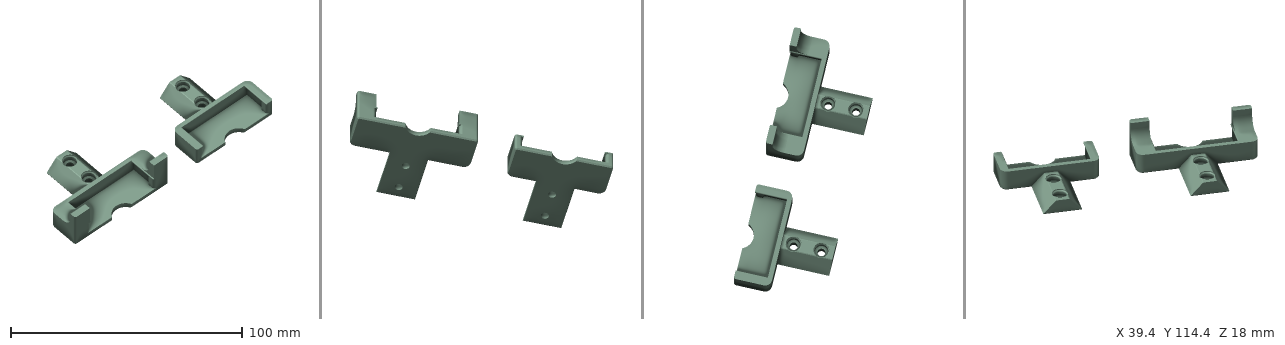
import cadquery as cq

total_length = 114.4
plain_length = 44.0
horned_length = 54.0

tray_depth = 16.4
tray_height = 9.5
floor_thickness = 2.5
back_wall = 2.1
back_corner_radius = 3.1
front_corner_radius = 1.0
base_chamfer = 0.6

pocket_width = 37.0
mouth_radius = 1.5
mouth_length = 3.5
side_relief = 1.0
bead_radius = 0.5
relief_top = tray_height - 2 * bead_radius

notch_radius = 6.2
notch_depth = 3.7

overall_height = 18.0
horn_thickness = 3.1
horn_root_radius = 5.1

tongue_length = 23.0
tongue_height = 6.5
tongue_base_width = 18.1
tongue_top_width = 6.1
tongue_top_chamfer = 0.2

hole_count = 2
end_hole_inset = 5.5
hole_spacing = 12.4
hole_diameter = 3.4
counterbore_diameter = 6.0
counterbore_depth = 3.0
rim_diameter = 6.9
rim_depth = 0.5


def make_tray_block(length):
    """Solid tray body with its vertical corners rounded and its base edges chamfered."""
    block = cq.Workplane("XY").box(tray_depth, length, tray_height, centered=(False, True, False))
    block = block.edges("<X and |Z").fillet(back_corner_radius)
    block = block.edges(">X and |Z").fillet(front_corner_radius)
    return block.faces("<Z").edges().chamfer(base_chamfer)


def make_horn_wall(length):
    """Wall along the open end with a concave root; the pocket later splits it into two horns."""
    horn_back = tray_depth - horn_thickness
    wall = (
        cq.Workplane("XZ")
        .moveTo(horn_back - horn_root_radius, tray_height)
        .radiusArc((horn_back, tray_height + horn_root_radius), -horn_root_radius)
        .lineTo(horn_back, overall_height)
        .lineTo(tray_depth, overall_height)
        .lineTo(tray_depth, tray_height)
        .close()
        .extrude(length / 2, both=True)
    )
    return wall.edges(">X and |Z").fillet(front_corner_radius)


def make_pocket():
    """Space of the pocket, with the mouth edges rounded outward and the side walls relieved behind."""
    half_width = pocket_width / 2
    relief_half = half_width + side_relief
    flare_half = half_width + mouth_radius
    flare_start = tray_depth - mouth_radius
    relief_end = tray_depth - mouth_length
    opening = (
        cq.Workplane("XY")
        .workplane(offset=floor_thickness)
        .moveTo(back_wall, -half_width)
        .lineTo(flare_start, -half_width)
        .radiusArc((tray_depth, -flare_half), mouth_radius)
        .lineTo(tray_depth, flare_half)
        .radiusArc((flare_start, half_width), mouth_radius)
        .lineTo(back_wall, half_width)
        .close()
        .extrude(relief_top - floor_thickness)
    )
    relief = (
        cq.Workplane("XY")
        .workplane(offset=floor_thickness)
        .moveTo(back_wall, -relief_half)
        .lineTo(relief_end - side_relief, -relief_half)
        .radiusArc((relief_end, -half_width), -side_relief)
        .lineTo(relief_end, half_width)
        .radiusArc((relief_end - side_relief, relief_half), -side_relief)
        .lineTo(back_wall, relief_half)
        .close()
        .extrude(relief_top - floor_thickness)
    )
    return opening.union(relief)


def make_bead_opening():
    """Space above the pocket, waisted by the half-round bead on each side."""
    half_width = pocket_width / 2
    return (
        cq.Workplane("YZ")
        .workplane(offset=back_wall)
        .moveTo(-half_width, relief_top)
        .lineTo(half_width, relief_top)
        .radiusArc((half_width, tray_height), bead_radius)
        .lineTo(half_width, overall_height)
        .lineTo(-half_width, overall_height)
        .lineTo(-half_width, tray_height)
        .radiusArc((-half_width, relief_top), bead_radius)
        .close()
        .extrude(tray_depth - back_wall)
    )


def make_notch():
    """Round finger notch through the floor, centred beyond the open edge."""
    center_x = tray_depth - notch_depth + notch_radius
    return cq.Workplane("XY").center(center_x, 0).circle(notch_radius).extrude(floor_thickness)


def make_tongue():
    """Dovetail tongue ending at the back face of the tray."""
    half_base = tongue_base_width / 2
    half_top = tongue_top_width / 2
    tongue = (
        cq.Workplane("YZ")
        .polyline([
            (-half_base, 0),
            (half_base, 0),
            (half_top, tongue_height),
            (-half_top, tongue_height),
        ])
        .close()
        .extrude(-tongue_length)
    )
    tongue = tongue.faces(">Z").edges("|X").chamfer(tongue_top_chamfer)
    return tongue.faces("<Z").edges("not(>X)").chamfer(base_chamfer)


def make_screw_hole(x):
    """Through hole with a counterbore that widens through a 45 degree bevel to its rim."""
    bore_radius = counterbore_diameter / 2
    rim_radius = rim_diameter / 2
    seat_z = tongue_height - counterbore_depth
    rim_z = tongue_height - rim_depth
    profile = [
        (0, 0),
        (hole_diameter / 2, 0),
        (hole_diameter / 2, seat_z),
        (bore_radius, seat_z),
        (bore_radius, rim_z - (rim_radius - bore_radius)),
        (rim_radius, rim_z),
        (rim_radius, tongue_height),
        (0, tongue_height),
    ]
    hole = cq.Workplane("XZ").polyline(profile).close().revolve(360, (0, 0), (0, 1))
    return hole.translate((x, 0, 0))


def make_base_joint():
    """Strip that fills the tray's base chamfer where the tongue runs into it."""
    return (
        cq.Workplane("XZ")
        .polyline([(0, 0), (base_chamfer, 0), (0, base_chamfer)])
        .close()
        .extrude(tongue_base_width / 2 - base_chamfer, both=True)
    )


def make_holder(length, horned):
    """Complete holder centred on Y = 0."""
    holder = make_tray_block(length)
    if horned:
        holder = holder.union(make_horn_wall(length))
    holder = holder.cut(make_pocket()).cut(make_bead_opening()).cut(make_notch())
    holder = holder.union(make_tongue()).union(make_base_joint())
    for i in range(hole_count):
        holder = holder.cut(make_screw_hole(-tongue_length + end_hole_inset + i * hole_spacing))
    return holder


plain_holder = make_holder(plain_length, horned=False)
plain_holder = plain_holder.translate((0, (total_length - plain_length) / 2, 0))

horned_holder = make_holder(horned_length, horned=True)
horned_holder = horned_holder.translate((0, -(total_length - horned_length) / 2, 0))

result = cq.Compound.makeCompound([plain_holder.solids().val(), horned_holder.solids().val()])